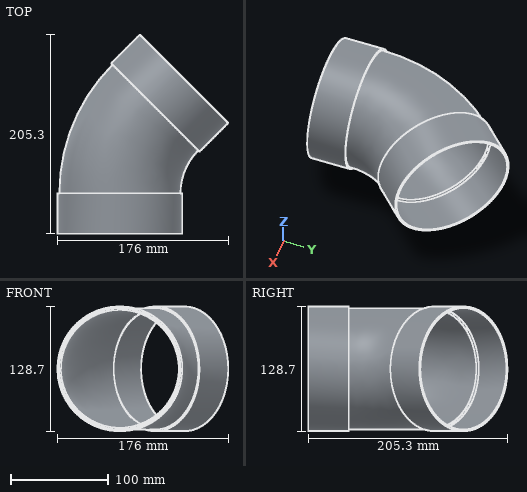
import cadquery as cq
import math

socket_outer_diameter = 128.7
socket_bore_diameter = 125.0
socket_length = 41.9
socket_depth = 40.0
bend_outer_diameter = 125.0
bend_bore_diameter = 121.3
bend_radius = 124.8
bend_angle = 45.0

turn = math.radians(bend_angle)
bend_end = (bend_radius * (1 - math.cos(turn)), bend_radius * math.sin(turn), 0)
outlet_direction = (math.sin(turn), math.cos(turn), 0)


def bent_rod(diameter):
    """Solid round bar following the centreline of the bend."""
    return (
        cq.Workplane("XZ")
        .circle(diameter / 2)
        .revolve(bend_angle, (bend_radius, 2, 0), (bend_radius, 0, 0))
    )


def socket_rod(mouth, direction, diameter, length):
    """Solid round bar running inward from the mouth of a socket."""
    plane = cq.Plane(origin=mouth, xDir=(0, 0, 1), normal=direction)
    return cq.Workplane(plane).circle(diameter / 2).extrude(-length)


def socket_taper(mouth, direction):
    """Conical passage from the end of the socket bore down to the bend bore."""
    base = tuple(p - socket_depth * d for p, d in zip(mouth, direction))
    inward = tuple(-d for d in direction)
    plane = cq.Plane(origin=base, xDir=(0, 0, 1), normal=inward)
    return (
        cq.Workplane(plane)
        .circle(socket_bore_diameter / 2)
        .workplane(offset=socket_length - socket_depth)
        .circle(bend_bore_diameter / 2)
        .loft(ruled=True)
    )


def mouth_centre(bend_face, direction):
    """Centre of the open socket face, one socket length out from the bend."""
    return tuple(p + socket_length * d for p, d in zip(bend_face, direction))


inlet_direction = (0, -1, 0)
sockets = [
    (mouth_centre((0, 0, 0), inlet_direction), inlet_direction),
    (mouth_centre(bend_end, outlet_direction), outlet_direction),
]

body = bent_rod(bend_outer_diameter)
for mouth, direction in sockets:
    body = body.union(socket_rod(mouth, direction, socket_outer_diameter, socket_length))

body = body.cut(bent_rod(bend_bore_diameter))
for mouth, direction in sockets:
    body = body.cut(socket_taper(mouth, direction))
    body = body.cut(socket_rod(mouth, direction, socket_bore_diameter, socket_depth))

result = body